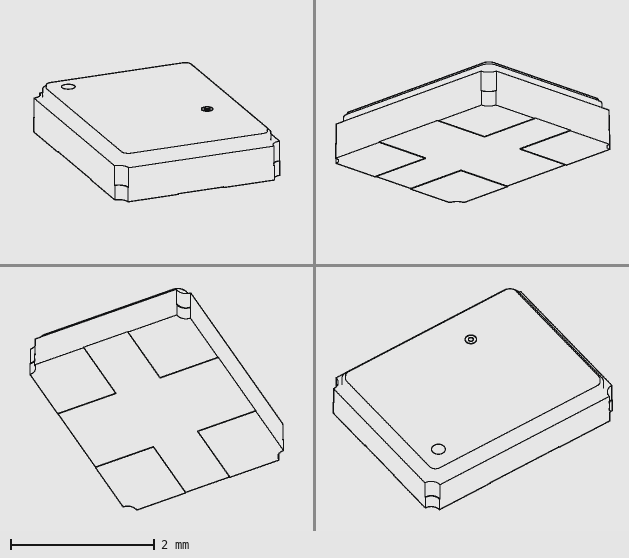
import cadquery as cq

length = 3.2
width = 2.5
base_top = 0.51
notch_radius = 0.15

metal = 0.01
pad_length = 1.01
pad_width = 0.905
plating_top = 0.218

edge_round = 0.02

ring_inset = 0.102
ring_top = 0.66
ring_corner = 0.15

lid_inset = 0.15
lid_top = 0.71
lid_corner = ring_corner - (lid_inset - ring_inset)

dot_x = -1.185
dot_y = -0.84
dot_radius = 0.095
dot_depth = 0.003
mark_x = 0.395
mark_y = 0.6
mark_outer_radius = 0.08
mark_inner_radius = 0.035
mark_top = 0.72


def slab(inset, bottom, top, corner):
    """Flat block with rounded vertical corners, inset from the base outline."""
    block = cq.Workplane("XY", origin=(0, 0, bottom)).rect(length - 2 * inset, width - 2 * inset)
    return block.extrude(top - bottom).edges("|Z").fillet(corner)


def at_corners(x_size, y_size):
    """Workplane on the floor with a point at each corner of a centred rectangle."""
    return cq.Workplane("XY").rect(x_size, y_size, forConstruction=True).vertices()


def corner_posts(radius, bottom, top):
    """Upright cylinders centred on the four corners of the base outline."""
    posts = at_corners(length, width).circle(radius).extrude(top - bottom)
    return posts.translate((0, 0, bottom))


def make_base_and_ring():
    """Base block carrying the seal ring, which has a rounded top edge and a concave fillet at its foot."""
    block = cq.Workplane("XY", origin=(0, 0, metal)).rect(length, width).extrude(base_top - metal)
    ring = slab(ring_inset, base_top, ring_top, ring_corner).faces(">Z").edges().fillet(edge_round)

    half_length = length / 2 - ring_inset / 2
    half_width = width / 2 - ring_inset / 2
    half_height = edge_round / 2
    foot_edges = cq.selectors.BoxSelector(
        (-half_length, -half_width, base_top - half_height),
        (half_length, half_width, base_top + half_height),
    )
    return block.union(ring).edges(foot_edges).fillet(edge_round)


def make_pads():
    """Four thin pads under the corners of the base."""
    return at_corners(length - pad_length, width - pad_width).rect(pad_length, pad_width).extrude(metal)


def make_notches():
    """Quarter-round corner cutters, smaller at the bottom where the notch wall is plated."""
    plated_notches = corner_posts(notch_radius - metal, 0, plating_top)
    bare_notches = corner_posts(notch_radius, plating_top, base_top)
    return plated_notches.union(bare_notches)


def make_lid():
    return slab(lid_inset, ring_top, lid_top, lid_corner).faces(">Z").edges().fillet(edge_round)


def make_dot():
    """Shallow round recess that marks the first terminal."""
    return cq.Workplane("XY", origin=(dot_x, dot_y, lid_top - dot_depth)).circle(dot_radius).extrude(dot_depth)


def make_mark():
    """Thin raised ring on the lid."""
    outline = cq.Workplane("XY", origin=(mark_x, mark_y, lid_top))
    return outline.circle(mark_outer_radius).circle(mark_inner_radius).extrude(mark_top - lid_top)


package = make_base_and_ring().union(make_pads()).cut(make_notches())
result = package.union(make_lid()).cut(make_dot()).union(make_mark())